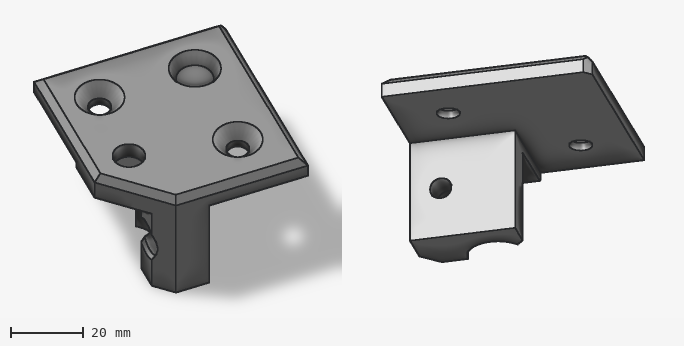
import cadquery as cq
import math

length = 59.5
width = 56.5
height = 36.0
plate_thickness = 6.0
corner_cut = 17.0
edge_chamfer = 2.0

block_left = 29.5
block_back = 27.0
step_thickness = 9.0
step_chamfer = 1.0
wall_front = 11.95
wall_lip = 7.0
wall_corner_chamfer = 2.1

groove_x = 38.45
groove_radius = 8.5
pin_hole_diameter = 9.0
pin_hole_depth = 5.0

hole_left = 14.45
hole_right = 44.45
hole_front = 13.45
hole_back = 41.95
screw_diameter = 6.4
screw_head_diameter = 13.75
socket_rim_diameter = 14.4
socket_floor_diameter = 10.35
socket_depth = 4.0

bolt_x = 50.7
bolt_z = 15.0
bolt_diameter = 6.1
bolt_head_diameter = 10.0
bolt_head_depth = 7.0
bolt_head_chamfer = 1.1

plate_bottom = height - plate_thickness
step_bottom = height - step_thickness


def cut_corner_outline(left, back):
    """Rectangle from the given left and back sides, with its front right corner cut off."""
    return [
        (left, 0),
        (length - corner_cut, 0),
        (length, corner_cut),
        (length, back),
        (left, back),
    ]


def make_plate():
    """Five-sided plate with a beveled top rim and one clipped rear corner."""
    outline = cut_corner_outline(0, width)
    base = cq.Workplane("XY", origin=(0, 0, plate_bottom))
    plate = base.polyline(outline).close().extrude(plate_thickness)
    plate = plate.faces(">Z").chamfer(edge_chamfer)
    clipped_corner = (
        base.moveTo(0, width)
        .lineTo(0, width - edge_chamfer)
        .lineTo(edge_chamfer, width)
        .close()
        .extrude(plate_thickness)
    )
    return plate.cut(clipped_corner)


def make_step():
    """Thick front part of the block, chamfered along its lower front edges."""
    outline = cut_corner_outline(block_left, block_back)
    step_height = step_thickness - edge_chamfer
    step = cq.Workplane("XY", origin=(0, 0, step_bottom)).polyline(outline).close().extrude(step_height)
    diagonal_middle = (length - corner_cut / 2, corner_cut / 2, step_bottom)
    front_edge = step.faces("<Z").edges("<Y")
    diagonal_edge = step.edges(cq.selectors.NearestToPointSelector(diagonal_middle))
    return front_edge.add(diagonal_edge).chamfer(step_chamfer)


def make_wall():
    """Hanging wall that ends flush with the diagonal of the plate."""
    outline = [
        (block_left, wall_front + wall_lip),
        (block_left + wall_corner_chamfer, wall_front + wall_lip - wall_corner_chamfer),
        (block_left + wall_corner_chamfer, wall_front),
        (length - corner_cut + wall_front, wall_front),
        (length, corner_cut),
        (length, block_back),
        (block_left, block_back),
    ]
    wall = cq.Workplane("XY").polyline(outline).close().extrude(plate_bottom)
    groove = cq.Workplane("XY").center(groove_x, wall_front).circle(groove_radius).extrude(step_bottom)
    return wall.cut(groove)


def make_screw_hole(x, y):
    """Through hole with a 90 degree countersink."""
    sink_depth = (screw_head_diameter - screw_diameter) / 2
    profile = [
        (0, plate_bottom),
        (screw_diameter / 2, plate_bottom),
        (screw_diameter / 2, height - sink_depth),
        (screw_head_diameter / 2, height),
        (0, height),
    ]
    hole = cq.Workplane("XZ").polyline(profile).close().revolve(360, (0, 0), (0, 1))
    return hole.translate((x, y, 0))


def make_socket():
    """Blind conical socket with a flat floor."""
    rim = cq.Workplane("XY", origin=(hole_left, hole_back, height)).circle(socket_rim_diameter / 2)
    taper = math.degrees(math.atan2((socket_rim_diameter - socket_floor_diameter) / 2, socket_depth))
    return rim.extrude(-socket_depth, taper=taper)


def make_bolt_hole():
    """Counterbored hole along Y whose mouth flares at the front of the wall."""
    head_radius = bolt_head_diameter / 2
    profile = [
        (0, wall_front),
        (head_radius + bolt_head_chamfer, wall_front),
        (head_radius, wall_front + bolt_head_chamfer),
        (head_radius, wall_front + bolt_head_depth),
        (bolt_diameter / 2, wall_front + bolt_head_depth),
        (bolt_diameter / 2, block_back),
        (0, block_back),
    ]
    hole = cq.Workplane("XY").polyline(profile).close().revolve(360, (0, 0), (0, 1))
    return hole.translate((bolt_x, 0, bolt_z))


result = make_plate().union(make_step()).union(make_wall())
for hole_x, hole_y in [(hole_left, hole_front), (hole_right, hole_back)]:
    result = result.cut(make_screw_hole(hole_x, hole_y))
result = result.cut(make_socket())
pin_hole = cq.Workplane("XY", origin=(groove_x, wall_front, height - pin_hole_depth))
result = result.cut(pin_hole.circle(pin_hole_diameter / 2).extrude(pin_hole_depth))
result = result.cut(make_bolt_hole())